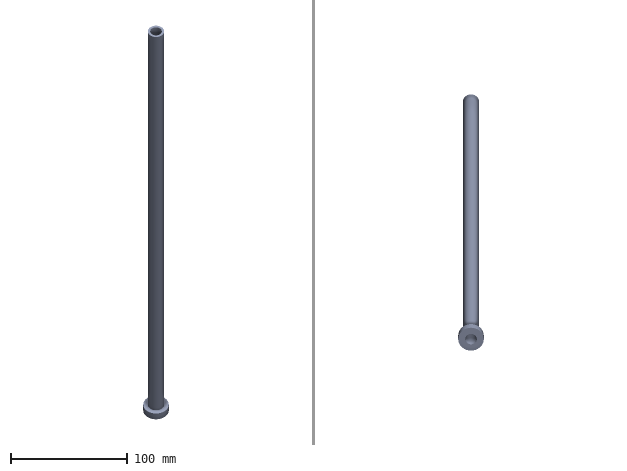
import cadquery as cq

total_length = 457.0
head_diameter = 22.0
head_height = 7.0
shaft_diameter = 14.0
bore_diameter = 10.0


def cylinder(diameter, height):
    """Round bar on the Z axis, rising from the underside of the head."""
    return cq.Workplane("XY").circle(diameter / 2).extrude(height)


head = cylinder(head_diameter, head_height)
shaft = cylinder(shaft_diameter, total_length)
bore = cylinder(bore_diameter, total_length)

result = head.union(shaft).cut(bore)